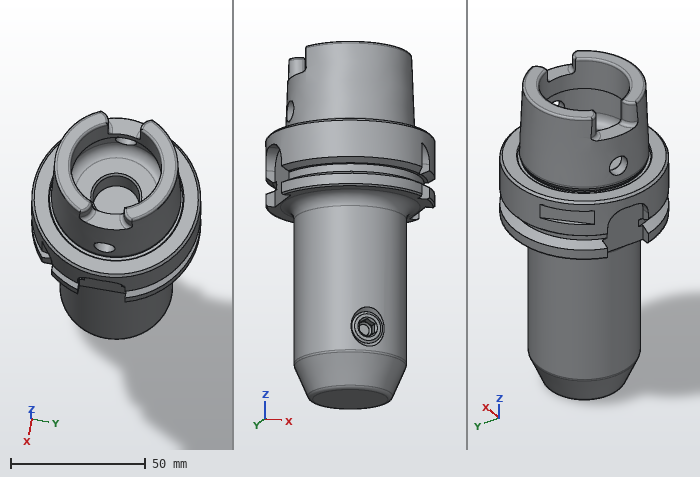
import cadquery as cq
import math

total_height = 132.0
shank_length = 32.0
flange_diameter = 63.0
flange_thickness = 26.0
body_diameter = 42.0

flange_radius = flange_diameter / 2
body_radius = body_diameter / 2
flange_top = total_height - shank_length
flange_bottom = flange_top - flange_thickness

nose_radius = 15.3
nose_height = 13.1
nose_fillet = 2.0
shoulder_fillet = 2.0

body_fillet = 5.0
flange_edge = 0.9
flange_lower_edge = 0.7
groove_radius = 27.5
groove_height = 2.9
groove_centre = flange_top - 18.1
groove_lip_radius = 28.9
upper_bevel_height = 1.7
lower_bevel_height = 1.8

shank_top_radius = 23.0
shank_base_radius = 24.2
shank_neck_radius = 23.6
shank_base_top = flange_top + 2.0
shank_base_bottom = flange_top + 1.2
relief_radius = 25.2
relief_depth = 0.5
relief_bevel = 0.4
bore_radius = 16.9
undercut_radius = 20.0
undercut_top_depth = 13.3
bore_depth = 30.4
bore_floor_fillet = 4.4
rim_fillet = 0.9
centre_hole_radius = 8.7
centre_hole_depth = 10.5
centre_hole_chamfer = 0.8
cross_hole_radius = 4.0
cross_hole_depth = 23.1

slot_width = 12.3
slot_face_distance = 20.9
slot_corner_radius = 4.4
slot_floor_fillet = 1.6
deep_slot_depth = 10.0
shallow_slot_depth = 6.3

keyway_width = 18.0
keyway_floor_distance = 26.5
keyway_top_drop = 5.1
keyway_corner_radius = 7.1
notch_offset = 19.9
notch_top_drop = 5.0
notch_corner_radius = 7.5
chip_flat_distance = 29.7
chip_flat_height = 6.0
chip_flat_top_drop = 4.0

screw_height = 22.7
screw_radius = 6.1
screw_seat_depth = 1.5
screw_face_depth = 0.9
screw_face_radius = 5.1
socket_across_flats = 6.0
socket_depth = 4.0
socket_countersink_radius = 3.8
socket_tip_radius = 2.2
socket_tip_depth = 0.8


def box_between(x0, x1, y0, y1, z0, z1):
    """Box given by its limits along the three axes."""
    return cq.Workplane("XY").box(x1 - x0, y1 - y0, z1 - z0, centered=False).translate((x0, y0, z0))


def make_turned_body():
    """Outside of the holder, revolved about Z."""
    groove_top = groove_centre + groove_height / 2
    groove_bottom = groove_centre - groove_height / 2
    fillet_shift = body_fillet * (1 - math.sqrt(0.5))
    body = (
        cq.Workplane("XZ")
        .moveTo(0, 0)
        .lineTo(nose_radius, 0)
        .lineTo(body_radius, nose_height)
        .lineTo(body_radius, flange_bottom - body_fillet)
        .threePointArc(
            (body_radius + fillet_shift, flange_bottom - fillet_shift),
            (body_radius + body_fillet, flange_bottom),
        )
        .lineTo(flange_radius - flange_lower_edge, flange_bottom)
        .lineTo(flange_radius, flange_bottom + flange_lower_edge)
        .lineTo(flange_radius, groove_bottom - lower_bevel_height)
        .lineTo(groove_radius, groove_bottom)
        .lineTo(groove_radius, groove_top)
        .lineTo(groove_lip_radius, groove_top)
        .lineTo(flange_radius, groove_top + upper_bevel_height)
        .lineTo(flange_radius, flange_top - flange_edge)
        .lineTo(flange_radius - flange_edge, flange_top)
        .lineTo(relief_radius, flange_top)
        .lineTo(relief_radius - relief_bevel, flange_top - relief_depth)
        .lineTo(shank_neck_radius, flange_top - relief_depth)
        .lineTo(shank_neck_radius, flange_top)
        .lineTo(shank_base_radius, shank_base_bottom)
        .lineTo(shank_base_radius, shank_base_top)
        .lineTo(shank_top_radius, total_height)
        .lineTo(0, total_height)
        .close()
        .revolve(360, (0, 0, 0), (0, 1, 0))
    )
    body = body.faces("<Z").edges().fillet(nose_fillet)
    shoulder = cq.selectors.BoxSelector(
        (-flange_radius, -flange_radius, nose_height - 0.1),
        (flange_radius, flange_radius, nose_height + 0.1),
    )
    return body.edges(shoulder).edges("%CIRCLE").fillet(shoulder_fillet)


def make_bore():
    """Shank bore undercut below its entry, with a rounded floor, and the chamfered blind hole below it."""
    bore_floor = total_height - bore_depth
    undercut_height = bore_depth - undercut_top_depth
    entry = (
        cq.Workplane("XY")
        .workplane(offset=total_height - undercut_top_depth)
        .circle(bore_radius)
        .extrude(undercut_top_depth)
    )
    undercut = cq.Workplane("XY").workplane(offset=bore_floor).circle(undercut_radius).extrude(undercut_height)
    undercut = undercut.faces("<Z").edges().fillet(bore_floor_fillet)
    hole_bottom = bore_floor - centre_hole_depth
    hole = cq.Workplane("XY").workplane(offset=hole_bottom).circle(centre_hole_radius).extrude(centre_hole_depth)
    mouth = cq.Workplane("XY").add(
        cq.Solid.makeCone(
            centre_hole_radius,
            centre_hole_radius + centre_hole_chamfer,
            centre_hole_chamfer,
            pnt=cq.Vector(0, 0, bore_floor - centre_hole_chamfer),
        )
    )
    return undercut.union(entry).union(hole).union(mouth)


def make_drive_slot(side, depth):
    """Rim slot on the +X (side = 1) or -X (side = -1) side, flared outside the shank face."""
    floor = total_height - depth
    half_width = slot_width / 2
    passage = box_between(0, flange_radius, -half_width, half_width, floor, total_height)
    flare = box_between(
        slot_face_distance, flange_radius, -flange_radius, flange_radius, floor, total_height
    )
    corners = cq.selectors.BoxSelector(
        (slot_face_distance - 0.1, -slot_width, floor),
        (slot_face_distance + 0.1, slot_width, total_height),
    )
    slot = passage.union(flare).edges(corners).edges("|Z").fillet(slot_corner_radius)
    slot = slot.faces("<Z").edges().fillet(slot_floor_fillet)
    slot = slot.intersect(
        box_between(
            slot_floor_fillet, flange_radius, -flange_radius, flange_radius, floor, total_height
        )
    )
    return slot if side > 0 else slot.mirror("YZ")


def make_keyway(side):
    """Flange keyway, open downwards, with rounded top corners."""
    half_width = keyway_width / 2
    keyway = box_between(
        keyway_floor_distance, flange_radius, -half_width, half_width,
        flange_bottom, flange_top - keyway_top_drop,
    )
    keyway = keyway.faces(">Z").edges("|X").fillet(keyway_corner_radius)
    return keyway if side > 0 else keyway.mirror("YZ")


def make_index_notch():
    """Notch at the +X -Y corner of the flange, its top curving down to the inner wall."""
    notch = box_between(
        notch_offset, flange_radius, -flange_radius, -notch_offset,
        flange_bottom, flange_top - notch_top_drop,
    )
    return notch.faces(">Z").edges(">Y").fillet(notch_corner_radius)


def make_chip_flat():
    """Flat on the flange facing the -X +Y direction."""
    top = flange_top - chip_flat_top_drop
    flat = box_between(
        chip_flat_distance, flange_diameter, -flange_radius, flange_radius,
        top - chip_flat_height, top,
    )
    return flat.rotate((0, 0, 0), (0, 0, 1), 135)


def make_screw_recess():
    """Countersink around the flush screw, with the screw's hexagon socket."""
    face = body_radius - screw_face_depth
    seat = body_radius - screw_seat_depth
    clearance = 1.3
    countersink = (
        cq.Workplane("XY")
        .moveTo(0, face)
        .lineTo(screw_face_radius, face)
        .lineTo(screw_radius, seat)
        .lineTo(screw_radius + screw_seat_depth + clearance, body_radius + clearance)
        .lineTo(0, body_radius + clearance)
        .close()
        .revolve(360, (0, 0, 0), (0, 1, 0))
    )
    socket_radius = socket_across_flats / math.sqrt(3)
    chamfer_drop = socket_countersink_radius - socket_across_flats / 2
    socket_floor = face - socket_depth
    hexagon = (
        cq.Workplane("XZ", origin=(0, socket_floor, 0))
        .polygon(6, 2 * socket_radius)
        .extrude(-socket_depth)
        .rotate((0, 0, 0), (0, 1, 0), 30)
    )
    lead_in = (
        cq.Workplane("XY")
        .moveTo(0, face)
        .lineTo(socket_countersink_radius, face)
        .lineTo(socket_across_flats / 2, face - chamfer_drop)
        .lineTo(0, face - chamfer_drop)
        .close()
        .revolve(360, (0, 0, 0), (0, 1, 0))
    )
    tip = (
        cq.Workplane("XY")
        .moveTo(0, socket_floor)
        .lineTo(socket_across_flats / 2, socket_floor)
        .lineTo(socket_tip_radius, socket_floor - socket_tip_depth)
        .lineTo(0, socket_floor - socket_tip_depth)
        .close()
        .revolve(360, (0, 0, 0), (0, 1, 0))
    )
    recess = countersink.union(hexagon).union(lead_in).union(tip)
    return recess.rotate((0, 0, 0), (0, 0, 1), 180).translate((0, 0, screw_height))


def make_cross_hole():
    """Hole along X through both walls of the shank."""
    return (
        cq.Workplane("YZ", origin=(-flange_radius, 0, total_height - cross_hole_depth))
        .circle(cross_hole_radius)
        .extrude(flange_diameter)
    )


holder = make_turned_body().cut(make_bore())
holder = holder.cut(make_drive_slot(-1, deep_slot_depth))
holder = holder.cut(make_drive_slot(1, shallow_slot_depth))
holder = holder.faces(">Z").edges().fillet(rim_fillet)

holder = holder.cut(make_cross_hole())
for keyway_side in (-1, 1):
    holder = holder.cut(make_keyway(keyway_side))
holder = holder.cut(make_index_notch())
holder = holder.cut(make_chip_flat())
result = holder.cut(make_screw_recess())